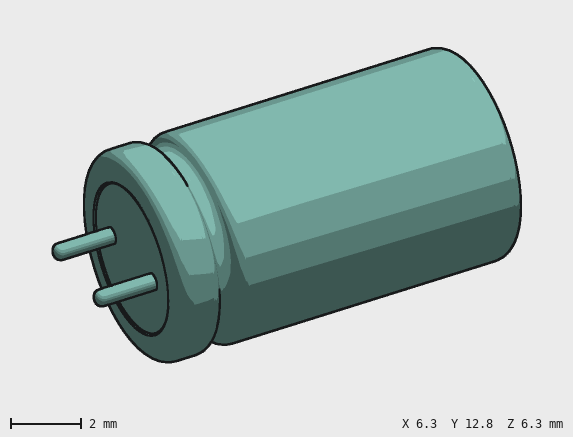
import cadquery as cq
import math

overall_length = 12.8
can_diameter = 6.3
lead_length = 1.8
can_length = overall_length - lead_length
can_radius = can_diameter / 2
end_fillet = 0.4

groove_position = 1.59
groove_half_width = 0.59
groove_depth = 0.4

recess_mouth_radius = 2.27
recess_floor_radius = 2.21
recess_depth = 0.05

lead_diameter = 0.5
lead_spacing = 2.5
lead_tip_fillet = 0.2


def make_can():
    """Revolve the half profile of the can; the groove is made of equal, tangent arcs."""
    arc_radius = (groove_depth**2 + groove_half_width**2) / (4 * groove_depth)
    half_angle = math.asin(groove_half_width / (2 * arc_radius)) / 2
    shoulder_radial = can_radius - arc_radius * (1 - math.cos(half_angle))
    shoulder_axial = groove_half_width - arc_radius * math.sin(half_angle)
    floor_radius = can_radius - groove_depth
    inflection_radius = can_radius - groove_depth / 2
    inflection_axial = groove_half_width / 2

    fillet_inset = end_fillet * (1 - math.sqrt(0.5))
    profile = (
        cq.Workplane("XY")
        .lineTo(can_radius - end_fillet, 0)
        .threePointArc((can_radius - fillet_inset, fillet_inset), (can_radius, end_fillet))
        .lineTo(can_radius, groove_position - groove_half_width)
        .threePointArc(
            (shoulder_radial, groove_position - shoulder_axial),
            (inflection_radius, groove_position - inflection_axial),
        )
        .threePointArc(
            (floor_radius, groove_position),
            (inflection_radius, groove_position + inflection_axial),
        )
        .threePointArc(
            (shoulder_radial, groove_position + shoulder_axial),
            (can_radius, groove_position + groove_half_width),
        )
        .lineTo(can_radius, can_length - end_fillet)
        .threePointArc(
            (can_radius - fillet_inset, can_length - fillet_inset),
            (can_radius - end_fillet, can_length),
        )
        .lineTo(0, can_length)
        .close()
    )
    return profile.revolve(360, (0, 0, 0), (0, 1, 0))


def make_recess():
    """Tapered disc to remove from the seal face."""
    profile = (
        cq.Workplane("XY")
        .lineTo(recess_mouth_radius, 0)
        .lineTo(recess_floor_radius, recess_depth)
        .lineTo(0, recess_depth)
        .close()
    )
    return profile.revolve(360, (0, 0, 0), (0, 1, 0))


def make_lead(x_position):
    """Round lead from the recess floor to its rounded tip."""
    lead = (
        cq.Workplane("XZ", origin=(x_position, recess_depth, 0))
        .circle(lead_diameter / 2)
        .extrude(lead_length + recess_depth)
    )
    return lead.faces("<Y").edges().fillet(lead_tip_fillet)


result = make_can().cut(make_recess())
for side in (-1, 1):
    result = result.union(make_lead(side * lead_spacing / 2))